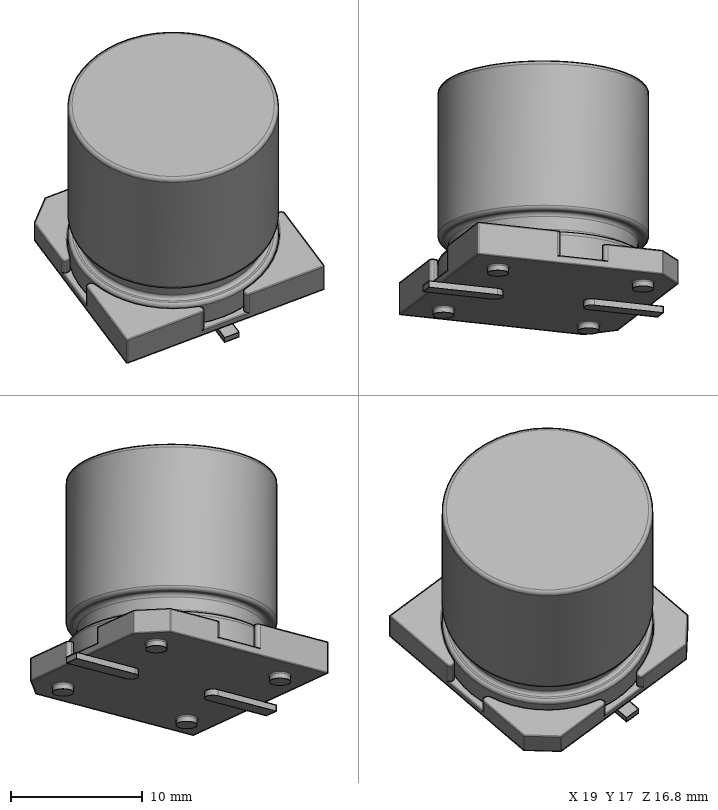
import cadquery as cq
import math

TOTAL_HEIGHT = 16.8
LEAD_SPAN = 19.0
BASE_SIDE = 17.0

STANDOFF = 0.5
LEAD_WIDTH = 1.25
LEAD_INNER_END = 3.31
FOOT_DIAMETER = 1.6
FOOT_OFFSET = 5.88
FOOT_FLARE = 0.1

CORNER_CUT = 2.0
FLOOR_Z = 1.1
LOW_TAB_Z = 2.4
HIGH_TAB_Z = 3.05
BORE_DIAMETER = 16.1
NOTCH_WIDTH = 3.5
TAB_OUTER_ROUND = 0.3
TAB_INNER_ROUND = 0.42
EDGE_ROUND = 0.08

CAN_DIAMETER = 16.0
NECK_DIAMETER = 14.4
GROOVE_BOTTOM = 3.28
GROOVE_TOP = 4.95
CAN_ROUND = 0.32

HALF_SIDE = BASE_SIDE / 2
TOLERANCE = 0.01


def make_can():
    """Turned can with a rounded neck groove and a rounded top rim."""
    height = TOTAL_HEIGHT - FLOOR_Z
    can = cq.Workplane("XY").workplane(offset=FLOOR_Z).circle(CAN_DIAMETER / 2).extrude(height)
    groove = (
        cq.Workplane("XY")
        .workplane(offset=GROOVE_BOTTOM)
        .circle(CAN_DIAMETER)
        .circle(NECK_DIAMETER / 2)
        .extrude(GROOVE_TOP - GROOVE_BOTTOM)
    )
    can = can.cut(groove)
    return can.edges("%CIRCLE and (not <Z)").fillet(CAN_ROUND)


def make_tab_block():
    """Four corner tabs, lower on the -X side, around the can bore and between the notches."""
    block = (
        cq.Workplane("XY")
        .workplane(offset=STANDOFF)
        .rect(BASE_SIDE, BASE_SIDE)
        .extrude(HIGH_TAB_Z - STANDOFF)
        .edges("|Z and <X")
        .chamfer(CORNER_CUT)
    )
    above_floor = cq.Workplane("XY").workplane(offset=FLOOR_Z)
    bore = above_floor.circle(BORE_DIAMETER / 2).extrude(HIGH_TAB_Z)
    notch_x = above_floor.rect(2 * BASE_SIDE, NOTCH_WIDTH).extrude(HIGH_TAB_Z)
    notch_y = above_floor.rect(NOTCH_WIDTH, 2 * BASE_SIDE).extrude(HIGH_TAB_Z)
    low_side = (
        cq.Workplane("XY")
        .workplane(offset=LOW_TAB_Z)
        .center(-HALF_SIDE, 0)
        .rect(BASE_SIDE, BASE_SIDE)
        .extrude(HIGH_TAB_Z)
    )
    return block.cut(bore).cut(notch_x).cut(notch_y).cut(low_side)


def tip_edges(block, face_distance):
    """Upright tab-tip edges on the notch walls, face_distance out from the base centre."""
    reach = NOTCH_WIDTH / 2
    picked = []
    for edge in block.edges("|Z").vals():
        centre = edge.Center()
        near = min(abs(centre.x), abs(centre.y))
        far = max(abs(centre.x), abs(centre.y))
        if abs(near - reach) < TOLERANCE and abs(far - face_distance) < TOLERANCE:
            picked.append(edge)
    return block.newObject(picked)


def corner_edges(base):
    """Upright edges at the outer corners of the base."""
    corner_sum = BASE_SIDE - CORNER_CUT
    picked = []
    for edge in base.edges("|Z").vals():
        centre = edge.Center()
        if abs(centre.x) + abs(centre.y) > corner_sum - TOLERANCE:
            picked.append(edge)
    return base.newObject(picked)


def floor_edges(base):
    """Outer straight edge of the floor in each notch."""
    picked = []
    for edge in base.edges("%LINE").vals():
        centre = edge.Center()
        reach = max(abs(centre.x), abs(centre.y))
        if abs(centre.z - FLOOR_Z) < TOLERANCE and reach > HALF_SIDE - TOLERANCE:
            picked.append(edge)
    return base.newObject(picked)


def tab_top_edges(base, level):
    """Edges around the flat tab tops at one level."""
    slab = cq.selectors.BoxSelector(
        (-BASE_SIDE, -BASE_SIDE, level - TOLERANCE),
        (BASE_SIDE, BASE_SIDE, level + TOLERANCE),
    )
    return base.faces("|Z").faces(slab).edges()


def make_base():
    """Square base with two cut corners, a bore for the can, four notches and softened edges."""
    base = make_tab_block()
    bore_reach = math.sqrt((BORE_DIAMETER / 2) ** 2 - (NOTCH_WIDTH / 2) ** 2)
    base = tip_edges(base, HALF_SIDE).fillet(TAB_OUTER_ROUND)
    base = tip_edges(base, bore_reach).fillet(TAB_INNER_ROUND)
    base = corner_edges(base).fillet(EDGE_ROUND)
    base = base.faces("<Z").edges().fillet(EDGE_ROUND)
    for level in (HIGH_TAB_Z, LOW_TAB_Z):
        base = tab_top_edges(base, level).fillet(EDGE_ROUND)
    return floor_edges(base).fillet(EDGE_ROUND)


def make_lead(side):
    """Flat lead with a half-round inner end; side is +1 or -1 along X."""
    radius = LEAD_WIDTH / 2
    return (
        cq.Workplane("XY")
        .moveTo(side * LEAD_SPAN / 2, -radius)
        .lineTo(side * (LEAD_INNER_END + radius), -radius)
        .threePointArc((side * LEAD_INNER_END, 0), (side * (LEAD_INNER_END + radius), radius))
        .lineTo(side * LEAD_SPAN / 2, radius)
        .close()
        .extrude(STANDOFF)
    )


def make_foot():
    """Round standoff foot on the Z axis, flared where it meets the base."""
    radius = FOOT_DIAMETER / 2
    arc_offset = FOOT_FLARE * (1 - math.sqrt(0.5))
    profile = (
        cq.Workplane("XZ")
        .lineTo(radius, 0)
        .lineTo(radius, STANDOFF - FOOT_FLARE)
        .threePointArc(
            (radius + arc_offset, STANDOFF - arc_offset),
            (radius + FOOT_FLARE, STANDOFF),
        )
        .lineTo(0, STANDOFF)
        .close()
    )
    return profile.revolve(axisStart=(0, 0, 0), axisEnd=(0, 1, 0))


def make_capacitor():
    """Base and can joined with two leads and four feet."""
    body = make_base().union(make_can())
    for side in (-1, 1):
        body = body.union(make_lead(side))
    for x_side in (-1, 1):
        for y_side in (-1, 1):
            foot = make_foot().translate((x_side * FOOT_OFFSET, y_side * FOOT_OFFSET, 0))
            body = body.union(foot)
    return body


result = make_capacitor()